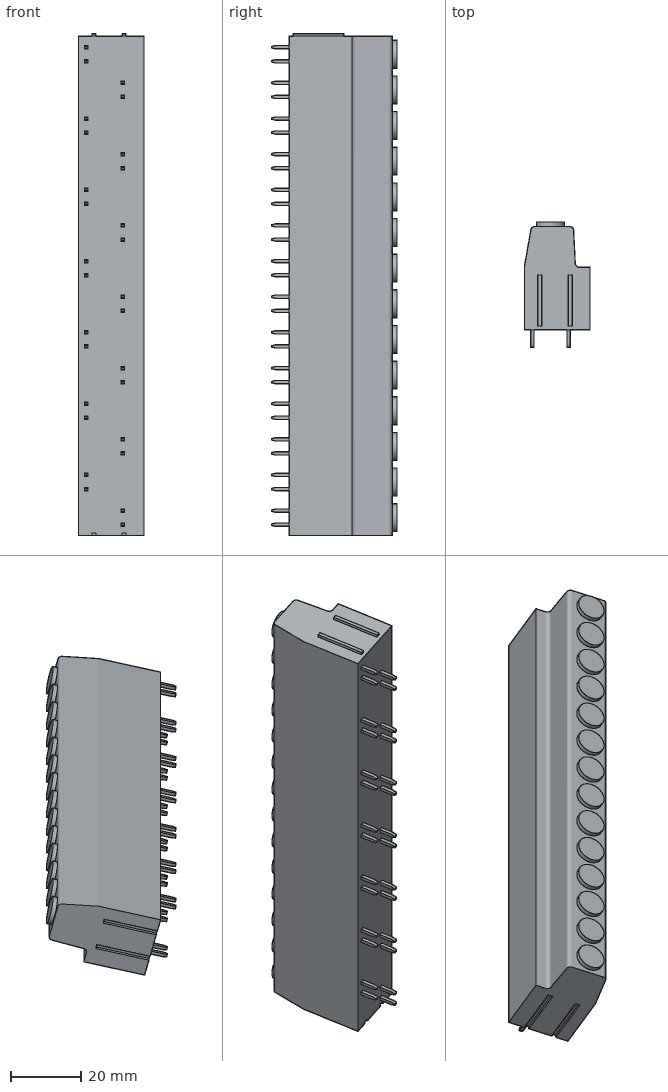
import cadquery as cq

total_height = 143.0
rib_height = 0.7
housing_height = total_height - rib_height

pole_count = 14
pole_pitch = 10.2

housing_width = 18.7
housing_depth = 29.5
slope_start_y = 18.2
shelf_y = 17.9
neck_right_x = 14.6
crown_left_x = 2.0
crown_right_x = 14.0
crown_fillet = 1.1
shelf_fillet = 1.1

screw_diameter = 8.0
screw_height = 1.3
screw_x = 7.5

pin_size = 1.0
pin_length = 5.0
pin_pair_spacing = 4.0
pin_column_x = (2.3, 12.6)
pin_tip_length = 1.1
pin_tip_size = 0.5

rib_center_x = (4.5, 13.0)
rib_root_width = 1.3
rib_tip_width = 1.0
rib_start_y = 1.1
rib_end_y = 15.6

overlap = 0.7


def make_housing():
    """Stepped housing extruded along Z, rounded at the crown and the shelf."""
    outline = [
        (0, 0),
        (housing_width, 0),
        (housing_width, shelf_y),
        (neck_right_x, shelf_y),
        (crown_right_x, housing_depth),
        (crown_left_x, housing_depth),
        (0, slope_start_y),
    ]
    housing = cq.Workplane("XY").polyline(outline).close().extrude(housing_height)
    housing = housing.edges("|Z and >Y").fillet(crown_fillet)
    shelf_corner = cq.selectors.NearestToPointSelector((neck_right_x, shelf_y, housing_height / 2))
    return housing.edges("|Z").edges(shelf_corner).fillet(shelf_fillet)


def make_screw(z):
    """Round screw head standing on the crown."""
    base = cq.Workplane("XZ", origin=(screw_x, housing_depth - overlap, z))
    return base.circle(screw_diameter / 2).extrude(-(screw_height + overlap))


def make_pin(x, z):
    """Square pin pointing to -Y whose tip narrows along Z."""
    half = pin_size / 2
    tip_half = pin_tip_size / 2
    tip_start_y = pin_tip_length - pin_length
    side_outline = [
        (overlap, -half),
        (overlap, half),
        (tip_start_y, half),
        (-pin_length, tip_half),
        (-pin_length, -tip_half),
        (tip_start_y, -half),
    ]
    return cq.Workplane("YZ", origin=(x - half, 0, z)).polyline(side_outline).close().extrude(pin_size)


def make_rail(center_x, start_y, base_z):
    """Bar along Y, narrowing upwards, that shapes a coupling rib or groove."""
    section = [
        (-rib_root_width / 2, 0),
        (rib_root_width / 2, 0),
        (rib_tip_width / 2, rib_height),
        (-rib_tip_width / 2, rib_height),
    ]
    base = cq.Workplane("XZ", origin=(center_x, start_y, base_z))
    return base.polyline(section).close().extrude(start_y - rib_end_y)


result = make_housing()

first_pole_z = (housing_height - pole_pitch * (pole_count - 1)) / 2
for pole in range(pole_count):
    pole_z = first_pole_z + pole * pole_pitch
    pin_x = pin_column_x[(pole + 1) % 2]
    result = result.union(make_screw(pole_z))
    for side in (-1, 1):
        result = result.union(make_pin(pin_x, pole_z + side * pin_pair_spacing / 2))

for center_x in rib_center_x:
    result = result.union(make_rail(center_x, rib_start_y, housing_height))
    result = result.cut(make_rail(center_x, 0, 0))